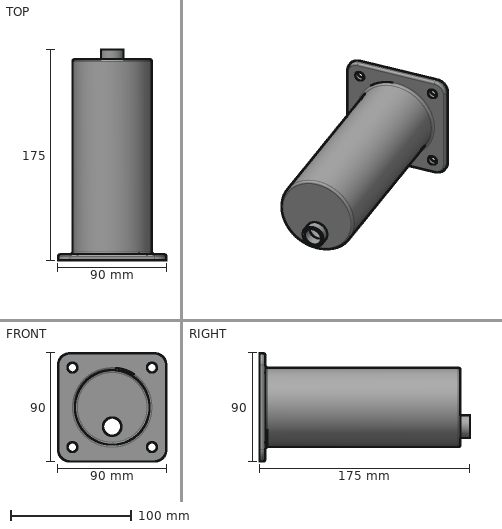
import cadquery as cq

total_length = 175.0
flange_side = 90.0
flange_thickness = 5.0
flange_corner_radius = 10.0
bolt_spacing = 66.0
bolt_hole_diameter = 8.0
tube_outer_diameter = 66.0
wall = 2.0
edge_radius = 2.0
spout_length = 8.0
spout_bore_diameter = 15.0
spout_drop = 16.0

tube_end = total_length - spout_length
tube_outer_radius = tube_outer_diameter / 2
tube_bore_radius = tube_outer_radius - wall
floor_position = tube_end - wall
spout_outer_diameter = spout_bore_diameter + 2 * wall


def plane_at(y):
    """Plane at depth y whose normal is +Y, with local x along -X and local y along +Z."""
    return cq.Workplane(cq.Plane(origin=(0, y, 0), xDir=(-1, 0, 0), normal=(0, 1, 0)))


def make_flange():
    """Square plate with rounded corners and a rounded rim on the tube side."""
    plate = plane_at(0).rect(flange_side, flange_side).extrude(flange_thickness)
    plate = plate.edges("|Y").fillet(flange_corner_radius)
    return plate.faces(">Y").edges().fillet(edge_radius)


def make_flare(radius, start):
    """Disc from depth start whose rim sweeps in to the given radius along a concave quarter arc."""
    end = start + edge_radius
    profile = (
        cq.Workplane("XY")
        .moveTo(0, start)
        .lineTo(radius + edge_radius, start)
        .radiusArc((radius, end), edge_radius)
        .lineTo(0, end)
        .close()
    )
    return profile.revolve(360, (0, 0, 0), (0, 1, 0))


def make_rounded_cylinder(radius, length):
    """Cylinder from the mounting face with its far edge rounded."""
    cylinder = plane_at(0).circle(radius).extrude(length)
    return cylinder.faces(">Y").edges().fillet(edge_radius)


def make_tube():
    """Solid tube body, rounded at the closed end and flared where it meets the flange."""
    body = make_rounded_cylinder(tube_outer_radius, tube_end)
    return body.union(make_flare(tube_outer_radius, flange_thickness))


def make_cavity():
    """Blind bore with a rounded floor edge and a rounded-over mouth."""
    bore = make_rounded_cylinder(tube_bore_radius, floor_position)
    return bore.union(make_flare(tube_bore_radius, 0))


def spout_cylinder(diameter):
    """Cylinder on the spout axis, from the cavity floor to the spout tip."""
    return (
        plane_at(floor_position)
        .center(0, -spout_drop)
        .circle(diameter / 2)
        .extrude(total_length - floor_position)
    )


def make_bolt_holes():
    """Four through holes in a square pattern."""
    return (
        plane_at(0)
        .rect(bolt_spacing, bolt_spacing, forConstruction=True)
        .vertices()
        .circle(bolt_hole_diameter / 2)
        .extrude(flange_thickness)
    )


result = (
    make_flange()
    .union(make_tube())
    .union(spout_cylinder(spout_outer_diameter))
    .cut(make_cavity())
    .cut(spout_cylinder(spout_bore_diameter))
    .cut(make_bolt_holes())
)